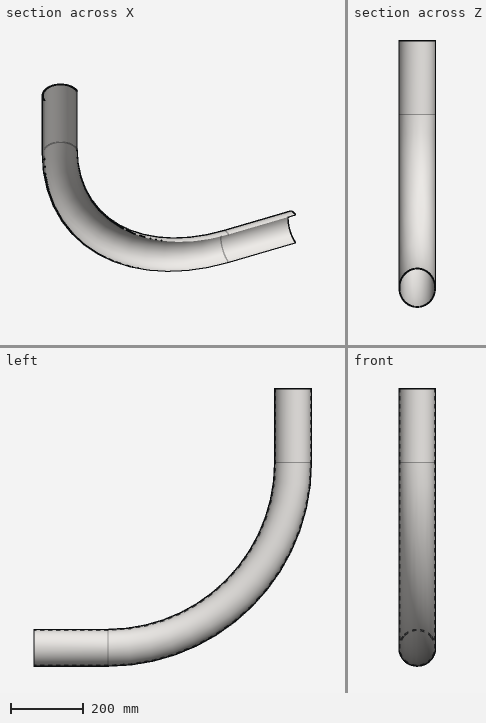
import cadquery as cq
import math

overall_size = 762.0
inner_diameter = 95.0
bend_ratio = 5.0
leg_ratio = 2.0

outer_diameter = overall_size / (bend_ratio + leg_ratio + 0.5)
bend_radius = bend_ratio * outer_diameter
leg_length = leg_ratio * outer_diameter
leg_end = bend_radius + leg_length

bend_middle = bend_radius * (1 - math.cos(math.radians(45)))
centreline = (
    cq.Workplane("YZ")
    .moveTo(0, leg_end)
    .lineTo(0, bend_radius)
    .threePointArc((bend_middle, bend_middle), (bend_radius, 0))
    .lineTo(leg_end, 0)
)

result = (
    cq.Workplane("XY", origin=(0, 0, leg_end))
    .circle(outer_diameter / 2)
    .circle(inner_diameter / 2)
    .sweep(centreline)
)